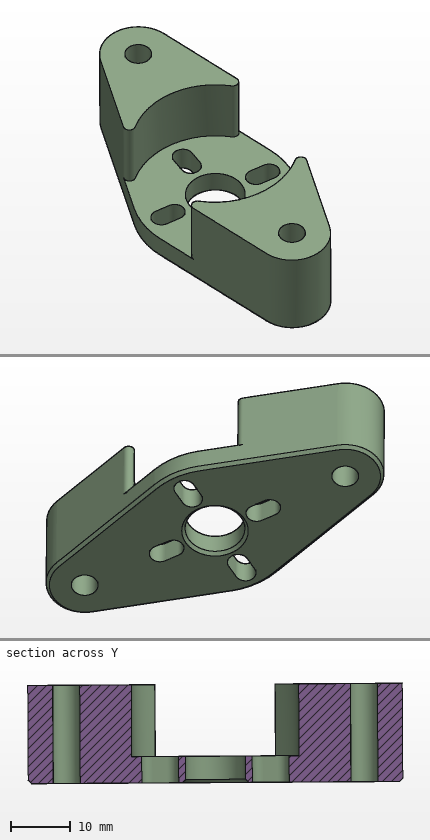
import cadquery as cq
import math

hub_radius = 14.0
end_radius = 6.5
hole_spacing = 49.95
half_spacing = hole_spacing / 2

base_height = 4.5
total_height = 16.5
bottom_chamfer = 0.55

centre_bore_diameter = 10.0
mount_hole_diameter = 4.5
slot_length = 6.1
slot_width = 3.5
slot_radius = 9.25
slot_count = 4

horn_tip_radius = 1.0
tilt_angle = 0.35

side_angle = math.asin((hub_radius - end_radius) / half_spacing)


def polar(radius, angle, centre_x=0):
    """Point at an angle (radians) measured from +Y toward +X."""
    return (centre_x + radius * math.sin(angle), radius * math.cos(angle))


def mirror_y(point):
    return (point[0], -point[1])


def make_base():
    hub_right = polar(hub_radius, side_angle)
    hub_left = polar(hub_radius, -side_angle)
    end_right = polar(end_radius, side_angle, half_spacing)
    end_left = polar(end_radius, -side_angle, -half_spacing)
    outline = (
        cq.Workplane("XY")
        .moveTo(*hub_left)
        .threePointArc((0, hub_radius), hub_right)
        .lineTo(*end_right)
        .threePointArc((half_spacing + end_radius, 0), mirror_y(end_right))
        .lineTo(*mirror_y(hub_right))
        .threePointArc((0, -hub_radius), mirror_y(hub_left))
        .lineTo(*mirror_y(end_left))
        .threePointArc((-half_spacing - end_radius, 0), end_left)
        .close()
    )
    return outline.extrude(base_height).faces("<Z").edges().chamfer(bottom_chamfer)


def make_raised_end():
    """Block on the +X end, hollowed by the hub circle, with rounded tips."""
    tip_distance = hub_radius + horn_tip_radius
    tip_angle = side_angle + math.acos((hub_radius - horn_tip_radius) / tip_distance)
    tip_x, tip_y = polar(tip_distance, tip_angle)

    def on_tip(angle):
        offset_x, offset_y = polar(horn_tip_radius, angle)
        return (tip_x + offset_x, tip_y + offset_y)

    inner_angle = tip_angle - math.pi
    tip_outer = on_tip(side_angle)
    tip_middle = on_tip((side_angle + inner_angle) / 2)
    tip_inner = on_tip(inner_angle)
    end_tangent = polar(end_radius, side_angle, half_spacing)
    return (
        cq.Workplane("XY", origin=(0, 0, base_height))
        .moveTo(*tip_outer)
        .lineTo(*end_tangent)
        .threePointArc((half_spacing + end_radius, 0), mirror_y(end_tangent))
        .lineTo(*mirror_y(tip_outer))
        .threePointArc(mirror_y(tip_middle), mirror_y(tip_inner))
        .threePointArc((hub_radius, 0), tip_inner)
        .threePointArc(tip_middle, tip_outer)
        .close()
        .extrude(total_height - base_height)
    )


def make_openings():
    bore = cq.Workplane("XY").circle(centre_bore_diameter / 2).extrude(total_height)
    bore_chamfer = (
        cq.Workplane("XY")
        .circle(centre_bore_diameter / 2 + bottom_chamfer)
        .extrude(bottom_chamfer, taper=45)
    )
    mount_holes = (
        cq.Workplane("XY")
        .pushPoints([(-half_spacing, 0), (half_spacing, 0)])
        .circle(mount_hole_diameter / 2)
        .extrude(total_height)
    )
    slots = (
        cq.Workplane("XY")
        .polarArray(slot_radius, 0, 360, slot_count)
        .slot2D(slot_length, slot_width)
        .extrude(total_height)
    )
    return bore.union(bore_chamfer).union(mount_holes).union(slots)


raised_end = make_raised_end()
body = make_base().union(raised_end).union(raised_end.mirror("YZ")).clean()
level_part = body.cut(make_openings())

result = level_part.rotate((0, 0, 0), (0, 1, 0), -tilt_angle)